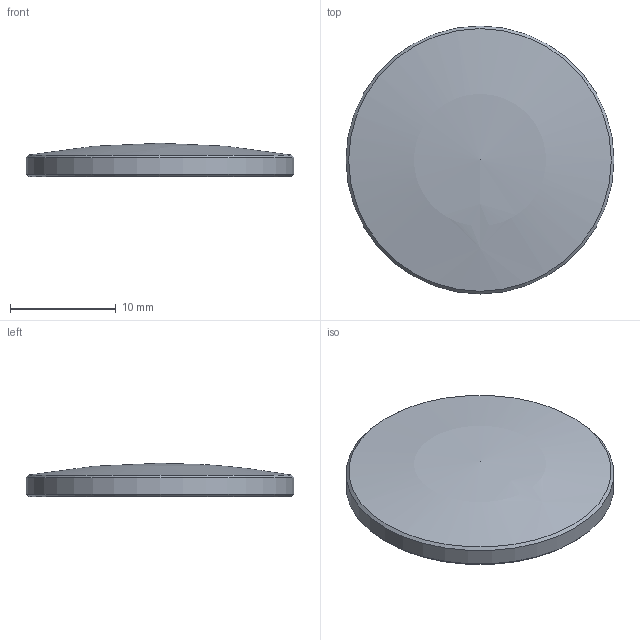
import cadquery as cq
import math

diameter = 25.4
center_thickness = 3.17
dome_rise = 1.12
bevel = 0.25

rim_radius = diameter / 2
face_radius = rim_radius - bevel
dome_edge_z = center_thickness - dome_rise

sphere_radius = (face_radius**2 + dome_rise**2) / (2 * dome_rise)
sphere_center_z = center_thickness - sphere_radius


def dome_height(radius):
    """Z of the dome surface at a given distance from the optical axis."""
    return sphere_center_z + math.sqrt(sphere_radius**2 - radius**2)


def half_profile():
    """Half section of the lens in the YZ plane, with the optical axis as one side."""
    mid_radius = face_radius / 2
    return (
        cq.Workplane("YZ")
        .moveTo(0, 0)
        .lineTo(-face_radius, 0)
        .lineTo(-rim_radius, bevel)
        .lineTo(-rim_radius, dome_edge_z - bevel)
        .lineTo(-face_radius, dome_edge_z)
        .threePointArc((-mid_radius, dome_height(mid_radius)), (0, center_thickness))
        .close()
    )


def lens():
    """Full turn of the half section about the Z axis."""
    return half_profile().revolve(360, (0, 0), (0, 1))


result = lens()